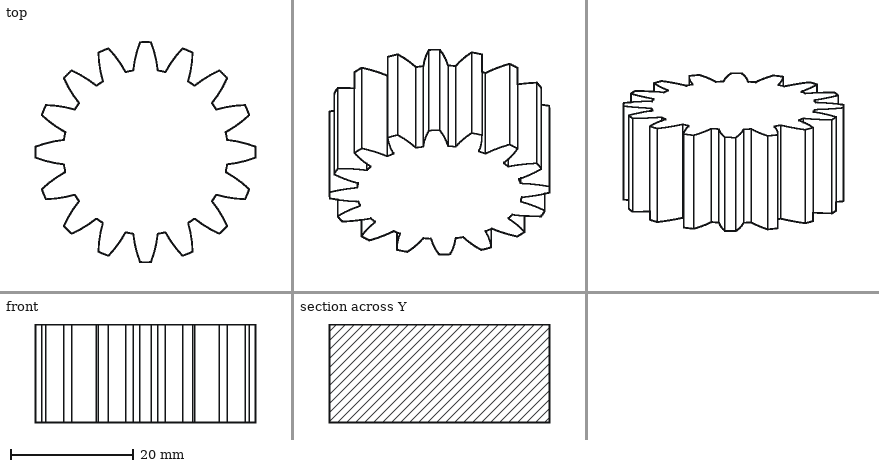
import cadquery as cq
import math

tooth_count = 16
outer_diameter = 36.0
root_diameter = 27.0
face_width = 16.0

tip_half_width = 0.9
middle_half_width = 1.62
root_half_width = 2.0

tip_radius = outer_diameter / 2
root_radius = root_diameter / 2
tip_distance = math.sqrt(tip_radius**2 - tip_half_width**2)
root_distance = math.sqrt(root_radius**2 - root_half_width**2)
middle_distance = (tip_distance + root_distance) / 2
tooth_pitch_angle = 360 / tooth_count


def tooth_point(distance, offset, angle):
    """Rotate a point of the tooth lying along +X by an angle in degrees."""
    turn = math.radians(angle)
    x = distance * math.cos(turn) - offset * math.sin(turn)
    y = distance * math.sin(turn) + offset * math.cos(turn)
    return x, y


def root_point(angle):
    """Point on the root circle at an angle in degrees."""
    return tooth_point(root_radius, 0, angle)


def gear_outline():
    """Closed outline with curved tooth flanks and round tips and roots."""
    outline = cq.Workplane("XY").moveTo(*tooth_point(root_distance, -root_half_width, 0))
    for index in range(tooth_count):
        angle = index * tooth_pitch_angle
        next_angle = angle + tooth_pitch_angle
        outline = outline.threePointArc(
            tooth_point(middle_distance, -middle_half_width, angle),
            tooth_point(tip_distance, -tip_half_width, angle),
        )
        outline = outline.threePointArc(
            tooth_point(tip_radius, 0, angle),
            tooth_point(tip_distance, tip_half_width, angle),
        )
        outline = outline.threePointArc(
            tooth_point(middle_distance, middle_half_width, angle),
            tooth_point(root_distance, root_half_width, angle),
        )
        outline = outline.threePointArc(
            root_point(angle + tooth_pitch_angle / 2),
            tooth_point(root_distance, -root_half_width, next_angle),
        )
    return outline.close()


result = gear_outline().extrude(face_width)